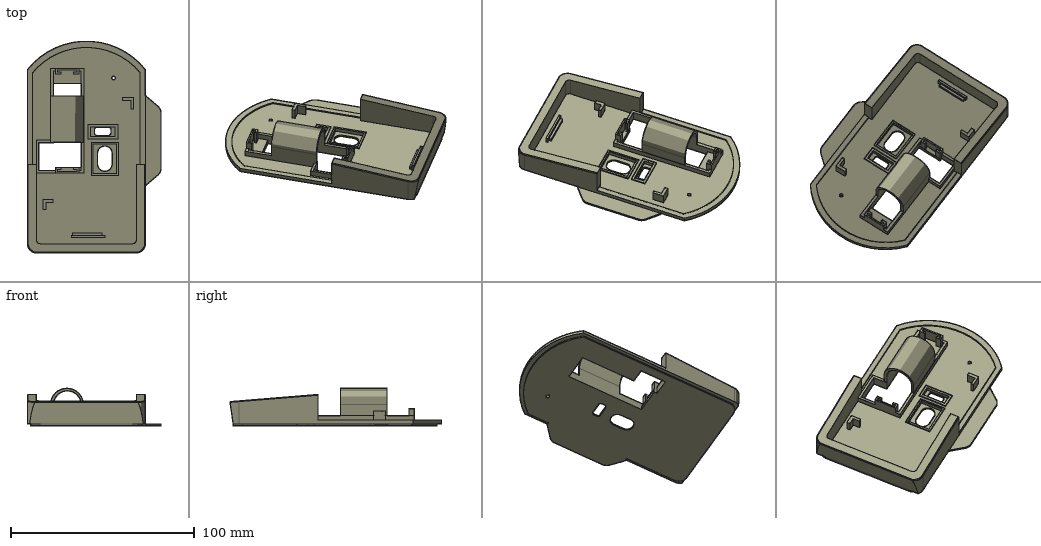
import cadquery as cq
import math


BODY_WIDTH = 64.3
BODY_LENGTH = 115.2
MID_X = BODY_WIDTH / 2
PLATE_TOP = 1.0
FLOOR_TOP = 2.5
RIM_TOP = 3.2

SHOULDER_Y = 99.6
RIM_WIDTH = 2.9
RIM_SHOULDER_Y = 98.0
RIM_APEX_Y = 111.7
CORNER_RADIUS = 5.1

PLATE_INSET = 1.7
PLATE_SHOULDER_Y = 98.7
PLATE_APEX_Y = 112.8

TAB_REACH = 72.8
TAB_OUTER_Y = (43.8, 78.3)
TAB_ROOT_Y = (36.5, 85.6)

WALL_WIDTH = 5.0
WALL_BACK_Y = 48.0
WALL_BACK_Z = 17.2
WALL_FRONT_Z = 13.2
WALL_INNER_RADIUS = 2.1
WALL_CHAMFER = 0.5
FRONT_LEAN_ANGLE = math.radians(8.2)
FRONT_EDGE_Y = -WALL_CHAMFER * math.sin(FRONT_LEAN_ANGLE)
FRONT_FOOT_Y = FRONT_EDGE_Y + (WALL_FRONT_Z - PLATE_TOP) * math.tan(FRONT_LEAN_ANGLE)

BAY_X = (12.5, 30.8)
BAY_INNER_X = (14.3, 29.3)
BAY_Y = (43.4, 100.3)
BAY_END_WALL = 1.4
BAY_INNER_Y = (BAY_Y[0] + BAY_END_WALL, BAY_Y[1] - BAY_END_WALL)
BAY_TOP = 5.5
BACK_LEDGE_Y = 92.0
FRONT_LEDGE_Y = 46.5
SIDE_BAY_X = WALL_WIDTH
SIDE_BAY_BACK_Y = 61.3
SIDE_BAY_INNER_X = SIDE_BAY_X + BAY_END_WALL
SIDE_BAY_INNER_BACK_Y = SIDE_BAY_BACK_Y - BAY_END_WALL

ARCH_X = (12.5, 30.5)
ARCH_Y = (60.1, 85.5)
ARCH_TOP = 20.5
ARCH_RADIUS = (ARCH_X[1] - ARCH_X[0]) / 2
ARCH_SPRING_Z = ARCH_TOP - ARCH_RADIUS

CLIP_X = (15.3, 28.0)
CLIP_DEPTH = 3.0
CLIP_BACK = 0.8
CLIP_SIDE = 1.0
CLIP_LIP = 2.9
CLIP_TOP = 9.5

FRAME_TOP = 3.1
SMALL_FRAME_X = (33.0, 49.2)
SMALL_FRAME_Y = (61.8, 69.9)
SMALL_FRAME_WALL = 1.4
SMALL_WINDOW_X = (36.6, 45.4)
SMALL_WINDOW_Y = (63.9, 68.3)
SMALL_WINDOW_RADIUS = 1.2
LARGE_FRAME_X = (34.8, 49.5)
LARGE_FRAME_Y = (42.0, 60.1)
LARGE_FRAME_WALL = 1.0
LARGE_WINDOW_X = (38.2, 46.1)
LARGE_WINDOW_Y = (44.5, 58.0)
LARGE_WINDOW_RADIUS = 3.8

PIN_HOLE_DIAMETER = 1.8
PIN_HOLE_CENTRE = (46.9, 95.1)
BRACKET_TOP = 8.1
REAR_BRACKET_X = (51.8, 57.8)
REAR_BRACKET_Y = (78.2, 84.5)
REAR_BRACKET_BAR = 1.7
REAR_BRACKET_STEM = 1.4
FRONT_BRACKET_X = (8.4, 14.0)
FRONT_BRACKET_Y = (23.6, 28.9)
FRONT_BRACKET_BAR = 1.5
FRONT_BRACKET_STEM = 1.8
STOP_X = (24.0, 42.2)
STOP_Y = (8.4, 9.5)
STOP_TOP = 5.5
STOP_STEP_X = (24.6, 40.5)
STOP_STEP_BACK_Y = 10.8
STOP_STEP_TOP = 4.0


def box(x_range, y_range, z_range):
    """Axis-aligned block spanning the three ranges."""
    size = [high - low for low, high in (x_range, y_range, z_range)]
    return cq.Workplane("XY").box(*size, centered=False).translate((x_range[0], y_range[0], z_range[0]))


def domed_slab(inset, front_y, shoulder_y, apex_y, z_range):
    """Slab with straight sides, a square front and an arched back end."""
    right = BODY_WIDTH - inset
    return (
        cq.Workplane("XY", origin=(0, 0, z_range[0]))
        .moveTo(inset, front_y)
        .lineTo(right, front_y)
        .lineTo(right, shoulder_y)
        .threePointArc((MID_X, apex_y), (inset, shoulder_y))
        .close()
        .extrude(z_range[1] - z_range[0])
    )


def base_plate():
    plate = domed_slab(PLATE_INSET, FRONT_FOOT_Y, PLATE_SHOULDER_Y, PLATE_APEX_Y, (0, PLATE_TOP))
    plate = plate.edges("|Z and <Y").fillet(CORNER_RADIUS)
    tab = (
        cq.Workplane("XY")
        .polyline([
            (MID_X, TAB_ROOT_Y[0]),
            (BODY_WIDTH, TAB_ROOT_Y[0]),
            (TAB_REACH, TAB_OUTER_Y[0]),
            (TAB_REACH, TAB_OUTER_Y[1]),
            (BODY_WIDTH, TAB_ROOT_Y[1]),
            (MID_X, TAB_ROOT_Y[1]),
        ])
        .close()
        .extrude(PLATE_TOP)
        .edges("|Z and >X")
        .fillet(CORNER_RADIUS)
    )
    return plate.union(tab)


def wall_block():
    """Front part of the tray: sloping top, leaning front face, rounded corners."""
    block = box((0, BODY_WIDTH), (FRONT_EDGE_Y, WALL_BACK_Y), (PLATE_TOP, WALL_BACK_Z))
    block = block.edges("|Z and <Y").fillet(CORNER_RADIUS)
    side_profile = (
        cq.Workplane("YZ")
        .polyline([
            (FRONT_FOOT_Y, PLATE_TOP),
            (WALL_BACK_Y, PLATE_TOP),
            (WALL_BACK_Y, WALL_BACK_Z),
            (FRONT_EDGE_Y, WALL_FRONT_Z),
        ])
        .close()
        .extrude(BODY_WIDTH)
    )
    return block.intersect(side_profile)


def tray():
    rear = domed_slab(0, WALL_BACK_Y, SHOULDER_Y, BODY_LENGTH, (PLATE_TOP, RIM_TOP))
    front = wall_block()
    front = front.faces(">Z").edges("not(>Y)").chamfer(WALL_CHAMFER)
    rear_recess = domed_slab(
        RIM_WIDTH, WALL_BACK_Y, RIM_SHOULDER_Y, RIM_APEX_Y, (FLOOR_TOP, RIM_TOP)
    )
    front_recess = box(
        (WALL_WIDTH, BODY_WIDTH - WALL_WIDTH), (WALL_WIDTH, WALL_BACK_Y), (FLOOR_TOP, WALL_BACK_Z)
    )
    front_recess = front_recess.edges("|Z and <Y").fillet(WALL_INNER_RADIUS)
    return rear.union(front).cut(rear_recess).cut(front_recess)


def bay_walls():
    walls = box(BAY_X, BAY_Y, (PLATE_TOP, BAY_TOP))
    return walls.union(box((SIDE_BAY_X, BAY_X[1]), (BAY_Y[0], SIDE_BAY_BACK_Y), (PLATE_TOP, BAY_TOP)))


def arched_block(x_range, y_range, base_z):
    """Block along Y with a half-round top springing at the height of the arch."""
    left, right = x_range
    radius = (right - left) / 2
    return (
        cq.Workplane("XZ", origin=(0, y_range[1], 0))
        .moveTo(left, base_z)
        .lineTo(left, ARCH_SPRING_Z)
        .threePointArc((left + radius, ARCH_SPRING_Z + radius), (right, ARCH_SPRING_Z))
        .lineTo(right, base_z)
        .close()
        .extrude(y_range[1] - y_range[0])
    )


def bay_space():
    """Room inside the bay and under the arch, down to the floor."""
    tunnel = arched_block(BAY_INNER_X, BAY_INNER_Y, FLOOR_TOP)
    side = box(
        (SIDE_BAY_INNER_X, BAY_INNER_X[1]),
        (BAY_INNER_Y[0], SIDE_BAY_INNER_BACK_Y),
        (FLOOR_TOP, BAY_TOP),
    )
    return tunnel.union(side)


def bay_opening():
    """Opening through the floor, leaving ledges under both clips."""
    main = box(BAY_INNER_X, (FRONT_LEDGE_Y, BACK_LEDGE_Y), (0, FLOOR_TOP))
    side = box(
        (SIDE_BAY_INNER_X, CLIP_X[0]), (BAY_INNER_Y[0], SIDE_BAY_INNER_BACK_Y), (0, FLOOR_TOP)
    )
    return main.union(side)


def add_clip(body, outer_y, inward):
    """Add a C-shaped contact holder; inward is +1 or -1, the way it opens along Y."""
    left, right = CLIP_X
    back_y = outer_y + inward * CLIP_BACK
    lip_y = outer_y + inward * (CLIP_DEPTH - CLIP_SIDE)
    tip_y = outer_y + inward * CLIP_DEPTH
    z_range = (FLOOR_TOP, CLIP_TOP)
    slot = box((left + CLIP_SIDE, right - CLIP_SIDE), sorted((back_y, lip_y)), z_range)
    mouth = box((left + CLIP_LIP, right - CLIP_LIP), sorted((back_y, tip_y)), z_range)
    body = body.union(box(CLIP_X, sorted((outer_y, tip_y)), z_range))
    return body.cut(slot).cut(mouth)


def add_framed_window(body, frame_x, frame_y, frame_wall, hole_x, hole_y, hole_radius):
    """Raised frame round a pocket with a rounded window through its bottom."""
    body = body.union(box(frame_x, frame_y, (PLATE_TOP, FRAME_TOP)))
    pocket_x = (frame_x[0] + frame_wall, frame_x[1] - frame_wall)
    pocket_y = (frame_y[0] + frame_wall, frame_y[1] - frame_wall)
    body = body.cut(box(pocket_x, pocket_y, (PLATE_TOP, FRAME_TOP)))
    window = box(hole_x, hole_y, (0, PLATE_TOP)).edges("|Z").fillet(hole_radius)
    return body.cut(window)


def bracket(x_range, y_range, bar, stem_x):
    """L-shaped post: a bar along the back edge and a stem along one side."""
    z_range = (PLATE_TOP, BRACKET_TOP)
    back_bar = box(x_range, (y_range[1] - bar, y_range[1]), z_range)
    return back_bar.union(box(stem_x, y_range, z_range))


def brackets():
    rear_stem_x = (REAR_BRACKET_X[1] - REAR_BRACKET_STEM, REAR_BRACKET_X[1])
    front_stem_x = (FRONT_BRACKET_X[0], FRONT_BRACKET_X[0] + FRONT_BRACKET_STEM)
    rear = bracket(REAR_BRACKET_X, REAR_BRACKET_Y, REAR_BRACKET_BAR, rear_stem_x)
    front = bracket(FRONT_BRACKET_X, FRONT_BRACKET_Y, FRONT_BRACKET_BAR, front_stem_x)
    return rear.union(front)


def stop_bar():
    tall = box(STOP_X, STOP_Y, (PLATE_TOP, STOP_TOP))
    step = box(STOP_STEP_X, (STOP_Y[1], STOP_STEP_BACK_Y), (PLATE_TOP, STOP_STEP_TOP))
    return tall.union(step)


def pin_hole():
    return cq.Workplane("XY").center(*PIN_HOLE_CENTRE).circle(PIN_HOLE_DIAMETER / 2).extrude(FLOOR_TOP)


result = base_plate().union(tray())

result = result.union(bay_walls()).union(arched_block(ARCH_X, ARCH_Y, FLOOR_TOP))
result = result.cut(bay_space())
result = add_clip(result, BAY_Y[1], -1)
result = add_clip(result, BAY_Y[0], 1)
result = result.cut(bay_opening())

result = add_framed_window(
    result, SMALL_FRAME_X, SMALL_FRAME_Y, SMALL_FRAME_WALL,
    SMALL_WINDOW_X, SMALL_WINDOW_Y, SMALL_WINDOW_RADIUS,
)
result = add_framed_window(
    result, LARGE_FRAME_X, LARGE_FRAME_Y, LARGE_FRAME_WALL,
    LARGE_WINDOW_X, LARGE_WINDOW_Y, LARGE_WINDOW_RADIUS,
)
result = result.union(brackets()).union(stop_bar()).cut(pin_hole())